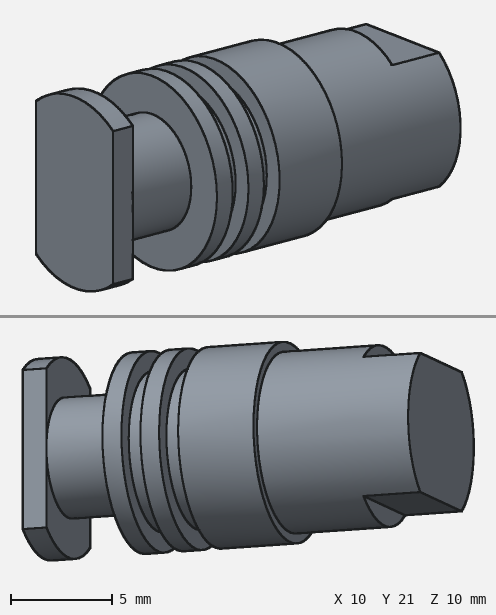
import cadquery as cq

total_length = 21.0
collar_diameter = 10.0
groove_diameter = 8.0
neck_diameter = 6.0
shank_diameter = 9.0

head_end = 1.25
neck_end = 5.0
collar_end = 13.0

groove_starts = (6.0, 8.0)
groove_width = 1.0

head_width = neck_diameter
shank_flat_height = 7.0
shank_flat_length = 3.0


def cylinder(diameter, start, end):
    """Round section along Y between two positions."""
    plane = cq.Workplane("XZ", origin=(0, start, 0))
    return plane.circle(diameter / 2).extrude(start - end)


def block(width, height, start, end):
    """Rectangular section centred on the Y axis between two positions."""
    plane = cq.Workplane("XZ", origin=(0, start, 0))
    return plane.rect(width, height).extrude(start - end)


head = cylinder(collar_diameter, 0, head_end)
head = head.intersect(block(head_width, collar_diameter, 0, head_end))

neck = cylinder(neck_diameter, head_end, neck_end)

collar = cylinder(collar_diameter, neck_end, collar_end)
for start in groove_starts:
    end = start + groove_width
    ring = cylinder(collar_diameter, start, end).cut(cylinder(groove_diameter, start, end))
    collar = collar.cut(ring)

flat_start = total_length - shank_flat_length
shank = cylinder(shank_diameter, collar_end, flat_start)
shank_tip = cylinder(shank_diameter, flat_start, total_length)
shank_tip = shank_tip.intersect(block(shank_diameter, shank_flat_height, flat_start, total_length))

result = head.union(neck).union(collar).union(shank).union(shank_tip)